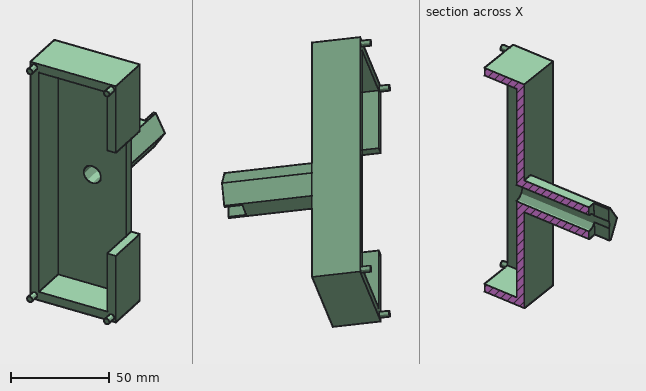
import cadquery as cq

tray_width = 50.0
tray_height = 140.0
tray_depth = 25.0
wall = 5.0
window_height = 61.0

pin_diameter = 3.2
pin_length = 5.0
pin_inset = 2.5

total_depth = 80.0
stem_length = total_depth - pin_length - tray_depth
stem_corner_diameter = 23.2
stem_tilt = 2.5
bore_diameter = 10.0
slot_width = 9.0
slot_depth = 9.2

stem_end = tray_depth + stem_length


def plane_facing_back(y):
    """Sketch plane at the given Y whose local Y is +Z and whose normal is +Y."""
    return cq.Workplane(cq.Plane(origin=(0, y, 0), xDir=(-1, 0, 0), normal=(0, 1, 0)))


def make_tray():
    tray = plane_facing_back(0).rect(tray_width, tray_height).extrude(tray_depth)
    pocket = (
        plane_facing_back(0)
        .rect(tray_width - 2 * wall, tray_height - 2 * wall)
        .extrude(tray_depth - wall)
    )
    window = cq.Workplane("XY").box(wall, tray_depth, window_height)
    window = window.translate(((tray_width - wall) / 2, tray_depth / 2, 0))
    return tray.cut(pocket).cut(window)


def make_pins():
    spacing_x = tray_width - 2 * pin_inset
    spacing_z = tray_height - 2 * pin_inset
    return (
        plane_facing_back(0)
        .rect(spacing_x, spacing_z, forConstruction=True)
        .vertices()
        .circle(pin_diameter / 2)
        .extrude(-pin_length)
    )


def make_stem():
    stem = plane_facing_back(tray_depth).polygon(6, stem_corner_diameter).extrude(stem_length)
    slot = (
        plane_facing_back(stem_end - slot_depth)
        .rect(slot_width, stem_corner_diameter)
        .extrude(slot_depth)
    )
    return stem.cut(slot).rotate((0, 0, 0), (0, 1, 0), stem_tilt)


bore = plane_facing_back(0).circle(bore_diameter / 2).extrude(stem_end)

result = make_tray().union(make_pins()).union(make_stem()).cut(bore)